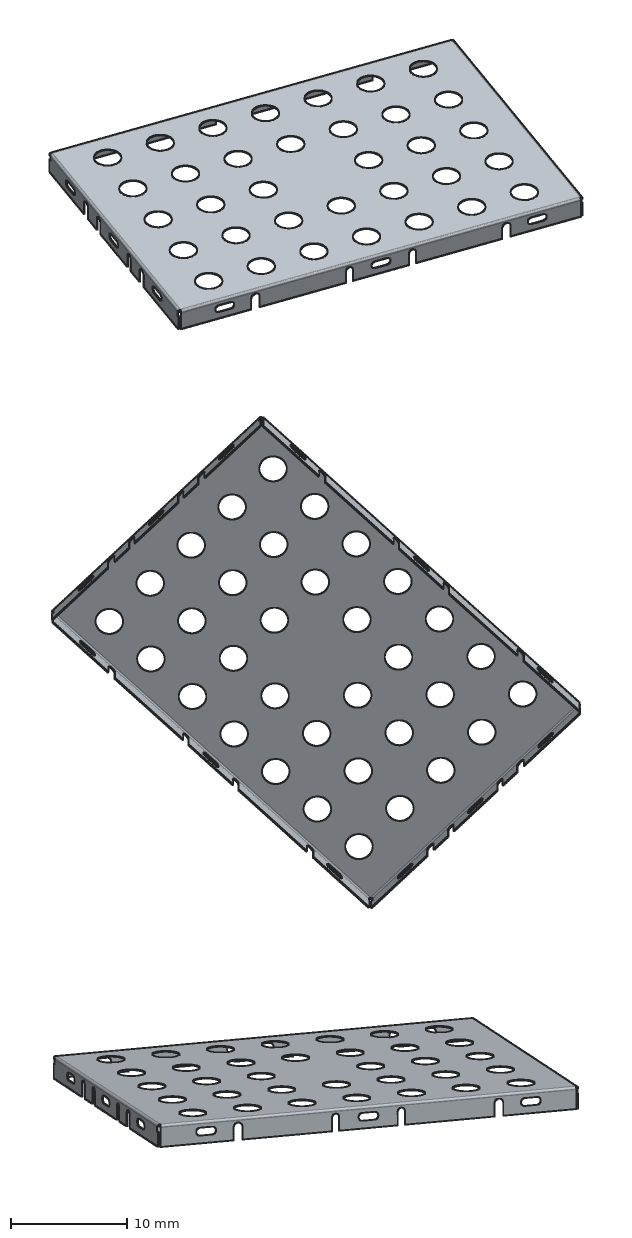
import cadquery as cq

length_x = 25.87
length_y = 38.55
height = 2.0

thickness = 0.1
bend_radius = 0.25
bend_inner_radius = bend_radius - thickness

corner_gap_x = 0.15
corner_gap_y = bend_radius
relief_width = 0.35
relief_bottom_z = 1.3

hole_diameter = 2.35
hole_pitch = 5.0
hole_columns = 5
hole_rows = 7

window_length = 1.8
window_height = 0.7
window_z = 1.05
window_offset_x = 8.6
window_offset_y = 14.9

notch_height = 1.55
wide_notch = 0.8
narrow_notch = 0.65
inner_notch_offset = 3.0
outer_notch_offset_x = 5.5
outer_notch_offset_y = 11.95


def rounded_block(size_x, size_y, size_z, radius):
    """Block standing on Z = 0 with its top edges rounded."""
    block = cq.Workplane("XY").box(size_x, size_y, size_z, centered=(True, True, False))
    return block.edges(">Z").fillet(radius)


def folded_sheet():
    """Tray-shaped sheet, open at the bottom."""
    outside = rounded_block(length_x, length_y, height, bend_radius)
    inside = rounded_block(
        length_x - 2 * thickness, length_y - 2 * thickness, height - thickness, bend_inner_radius
    )
    return outside.cut(inside)


def open_corners(body):
    """Part the walls at each corner and notch the short walls just below the bend."""
    bend_z = height - bend_radius
    for side_x in (-1, 1):
        for side_y in (-1, 1):
            corner = cq.Workplane("XY").center(side_x * length_x / 2, side_y * length_y / 2)
            gap = corner.rect(2 * corner_gap_x, 2 * corner_gap_y).extrude(height)
            relief = (
                corner.workplane(offset=relief_bottom_z)
                .rect(2 * relief_width, 2 * corner_gap_y)
                .extrude(bend_z - relief_bottom_z)
            )
            body = body.cut(gap).cut(relief)
    return body


def vent_holes():
    """Grid of round holes with the middle one left out."""
    points = []
    for column in range(hole_columns):
        for row in range(hole_rows):
            x = (column - (hole_columns - 1) / 2) * hole_pitch
            y = (row - (hole_rows - 1) / 2) * hole_pitch
            if (x, y) != (0, 0):
                points.append((x, y))
    return cq.Workplane("XY").pushPoints(points).circle(hole_diameter / 2).extrude(height)


def notch(plane, offset, width, depth):
    """Cutter for one notch, running through both opposite walls."""
    spring_z = notch_height - width / 2
    return (
        cq.Workplane(plane)
        .moveTo(offset - width / 2, 0)
        .lineTo(offset - width / 2, spring_z)
        .threePointArc((offset, notch_height), (offset + width / 2, spring_z))
        .lineTo(offset + width / 2, 0)
        .close()
        .extrude(depth / 2, both=True)
    )


def cut_skirt(body, plane, depth, window_offset, outer_notch_offset):
    """Cut the windows and notches through one pair of opposite walls."""
    windows = (
        cq.Workplane(plane)
        .pushPoints([(offset, window_z) for offset in (-window_offset, 0, window_offset)])
        .slot2D(window_length, window_height)
        .extrude(depth / 2, both=True)
    )
    body = body.cut(windows)
    for side in (-1, 1):
        body = body.cut(notch(plane, side * inner_notch_offset, narrow_notch, depth))
        body = body.cut(notch(plane, side * outer_notch_offset, wide_notch, depth))
    return body


result = open_corners(folded_sheet()).cut(vent_holes())
result = cut_skirt(result, "XZ", length_y, window_offset_x, outer_notch_offset_x)
result = cut_skirt(result, "YZ", length_x, window_offset_y, outer_notch_offset_y)